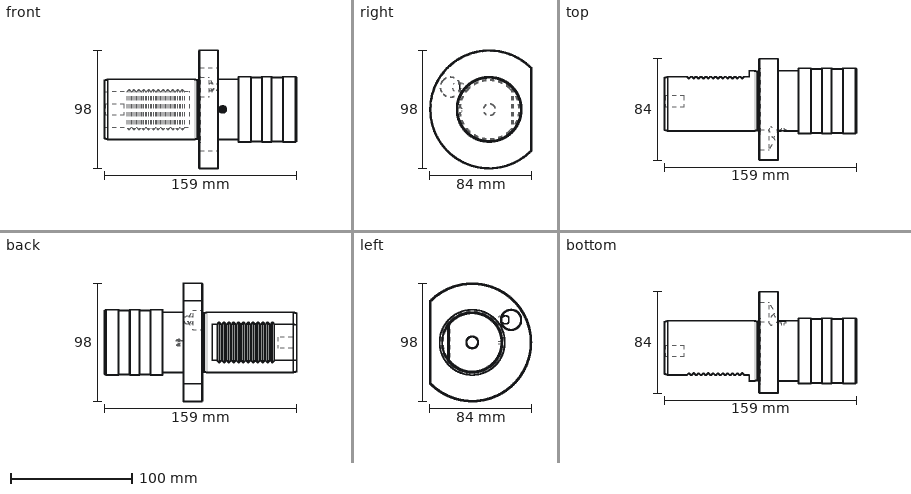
import cadquery as cq
import math


shank_radius = 25.0
shank_end_chamfer_length = 2.9
shank_end_chamfer_height = 1.0
neck_radius = 24.5
neck_taper_start = 74.4
neck_start = 76.0
relief_radius = 24.2
relief_start = 76.5

flat_height = 20.0
flat_length = 70.0
tooth_count = 12
first_tooth_x = 20.2
last_tooth_x = 64.2
tooth_pitch = (last_tooth_x - first_tooth_x) / (tooth_count - 1)
tooth_depth = 1.6

flange_start = 77.9
flange_end = 94.0
flange_radius = 49.0
flange_flat_height = 35.0
flange_front_chamfer = 0.8
flange_back_chamfer = 0.5

recess_radius = 27.0
recess_depth = 1.3

total_length = 159.0
ring_radius = 27.0
ring_groove_radius = 26.5
ring_chamfer = ring_radius - ring_groove_radius
ring_starts = (110.7, 129.7, 147.0)
ring_ends = (121.2, 138.3, total_length)
collar_end_chamfer_length = 1.5
collar_end_chamfer_height = 1.0

center_hole_radius = 4.6
center_hole_depth = 15.9
center_hole_chamfer = 0.5

port_y = -32.1
port_z = 18.6
port_radius = 8.1
port_depth = 8.3
port_tip_angle = 118.0
port_chamfer = 0.5
feed_radius = 3.3
feed_offset = 1.9
feed_length = 8.7
feed_angle = 60.0

nozzle_x = 97.6
nozzle_seat_radius = 2.4
nozzle_seat_depth = 1.6
nozzle_seat_chamfer = 0.6
jet_radius = 1.0
jet_depth = 3.2
jet_chamfer = 0.5


def shaft(start, end, radius):
    """Cylinder along X."""
    return cq.Workplane("YZ", origin=(start, 0, 0)).circle(radius).extrude(end - start)


def revolve_about_x(profile):
    return profile.revolve(360, (0, 0, 0), (1, 0, 0))


def make_shank():
    outline = (
        cq.Workplane("XY")
        .lineTo(0, shank_radius - shank_end_chamfer_height)
        .lineTo(shank_end_chamfer_length, shank_radius)
        .lineTo(neck_taper_start, shank_radius)
        .lineTo(neck_start, neck_radius)
        .lineTo(relief_start, neck_radius)
        .lineTo(relief_start, relief_radius)
        .lineTo(flange_end, relief_radius)
        .lineTo(flange_end, 0)
        .close()
    )
    shank = revolve_about_x(outline)
    above_flat = (
        cq.Workplane("XY")
        .moveTo(0, flat_height - shank_end_chamfer_height)
        .lineTo(shank_end_chamfer_length, flat_height)
        .lineTo(flat_length, flat_height)
        .lineTo(flat_length, shank_radius)
        .lineTo(0, shank_radius)
        .close()
        .extrude(shank_radius, both=True)
    )
    shank = shank.cut(above_flat)
    for tooth in range(tooth_count):
        x = first_tooth_x + tooth * tooth_pitch
        notch = (
            cq.Workplane("XY", origin=(x, flat_height, 0))
            .moveTo(0, -tooth_depth)
            .lineTo(tooth_depth, 0)
            .lineTo(-tooth_depth, 0)
            .close()
            .extrude(shank_radius, both=True)
        )
        shank = shank.cut(notch)
    return shank


def make_flange():
    disc = shaft(flange_start, flange_end, flange_radius)
    above_flat = (
        cq.Workplane("XY", origin=(flange_start, flange_flat_height, 0))
        .box(flange_end - flange_start, flange_radius, 2 * flange_radius, centered=(False, False, True))
    )
    flange = disc.cut(above_flat)
    return flange.faces("<X").chamfer(flange_front_chamfer).faces(">X").chamfer(flange_back_chamfer)


def make_recess():
    """Annular recess whose floor blends into the relief with a fillet."""
    floor_x = flange_start + recess_depth
    arc_rise = recess_depth * (1 - math.sqrt(0.5))
    outline = (
        cq.Workplane("XY")
        .moveTo(flange_start, relief_radius)
        .threePointArc(
            (floor_x - arc_rise, relief_radius + arc_rise),
            (floor_x, relief_radius + recess_depth),
        )
        .lineTo(floor_x, recess_radius)
        .lineTo(flange_start, recess_radius)
        .close()
    )
    return revolve_about_x(outline)


def make_ring(start, end):
    """Raised ring whose edges slope down to the groove floor; the last one ends in a longer chamfer."""
    end_chamfer_length = ring_chamfer
    end_chamfer_height = ring_chamfer
    if end == total_length:
        end_chamfer_length = collar_end_chamfer_length
        end_chamfer_height = collar_end_chamfer_height
    outline = (
        cq.Workplane("XY")
        .moveTo(start, 0)
        .lineTo(start, ring_groove_radius)
        .lineTo(start + ring_chamfer, ring_radius)
        .lineTo(end - end_chamfer_length, ring_radius)
        .lineTo(end, ring_radius - end_chamfer_height)
        .lineTo(end, 0)
        .close()
    )
    return revolve_about_x(outline)


def make_collar():
    """Plain boss behind the flange, then a grooved core with raised rings."""
    collar = shaft(flange_end, ring_starts[0], shank_radius)
    collar = collar.union(shaft(ring_starts[0], ring_starts[-1], ring_groove_radius))
    for start, end in zip(ring_starts, ring_ends):
        collar = collar.union(make_ring(start, end))
    return collar


def hole_with_chamfer(radius, depth, chamfer, tip_angle=180.0):
    """Blind hole cutter running from the origin along +X, flat-bottomed unless a tip angle is given."""
    tip = radius / math.tan(math.radians(tip_angle / 2))
    outline = (
        cq.Workplane("XY")
        .lineTo(0, radius + chamfer)
        .lineTo(chamfer, radius)
        .lineTo(depth, radius)
        .lineTo(depth + tip, 0)
        .close()
    )
    return revolve_about_x(outline)


def make_port():
    port = hole_with_chamfer(port_radius, port_depth, port_chamfer, port_tip_angle)
    feed = (
        shaft(0, feed_length, feed_radius)
        .rotate((0, 0, 0), (0, 0, 1), feed_angle)
        .translate((port_depth, feed_offset, 0))
    )
    return port.union(feed).translate((flange_start, port_y, port_z))


def make_nozzle():
    seat = hole_with_chamfer(nozzle_seat_radius, nozzle_seat_depth, nozzle_seat_chamfer)
    jet = hole_with_chamfer(jet_radius, jet_depth, jet_chamfer).translate((nozzle_seat_depth, 0, 0))
    nozzle = seat.union(jet).rotate((0, 0, 0), (0, 0, 1), 90)
    return nozzle.translate((nozzle_x, -shank_radius, 0))


result = make_shank().union(make_flange()).cut(make_recess()).union(make_collar())
result = result.cut(hole_with_chamfer(center_hole_radius, center_hole_depth, center_hole_chamfer))
result = result.cut(make_port()).cut(make_nozzle())